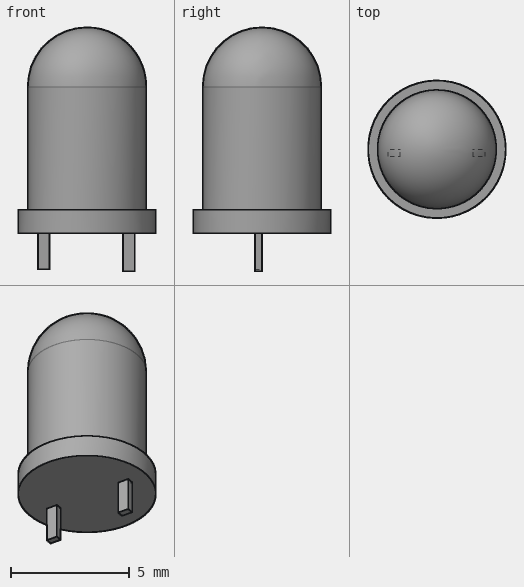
import cadquery as cq

total_height = 10.26
flange_diameter = 5.8
flange_height = 1.0
body_diameter = 5.0

lead_width = 0.5
lead_thickness = 0.3
short_lead_length = 1.52
long_lead_length = 1.6
short_lead_x = -1.82
long_lead_x = 1.76
lead_back_y = 0.0

dome_radius = body_diameter / 2
tip_z = total_height - long_lead_length
dome_base_z = tip_z - dome_radius


def make_housing():
    """Flange, cylindrical body and hemispherical dome, revolved about Z as one solid."""
    flange_radius = flange_diameter / 2
    body_radius = body_diameter / 2
    dome_mid_offset = dome_radius / 2**0.5
    half_profile = (
        cq.Workplane("XZ")
        .moveTo(0, 0)
        .lineTo(flange_radius, 0)
        .lineTo(flange_radius, flange_height)
        .lineTo(body_radius, flange_height)
        .lineTo(body_radius, dome_base_z)
        .threePointArc((dome_mid_offset, dome_base_z + dome_mid_offset), (0, tip_z))
        .close()
    )
    return half_profile.revolve(360, (0, 0), (0, 1))


def make_lead(center_x, length):
    """Rectangular lead hanging from the flange, its back face at lead_back_y."""
    return (
        cq.Workplane("XY")
        .box(lead_width, lead_thickness, length, centered=(True, False, False))
        .translate((center_x, lead_back_y - lead_thickness, -length))
    )


housing = make_housing()

lead_layout = [
    (short_lead_x, short_lead_length),
    (long_lead_x, long_lead_length),
]
leads = [make_lead(center_x, length) for center_x, length in lead_layout]

result = cq.Compound.makeCompound([housing.val(), *[lead.val() for lead in leads]])